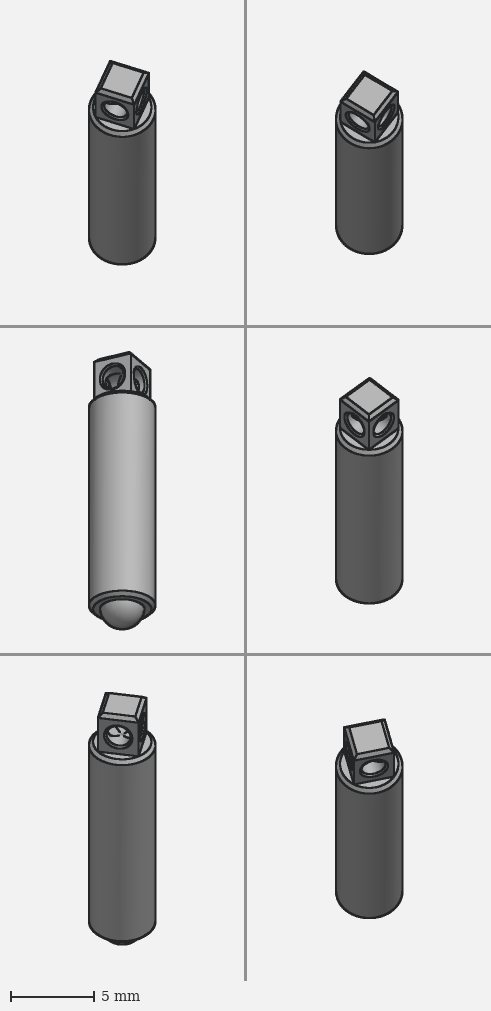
import cadquery as cq

overall_height = 17.79
body_diameter = 4.0
body_bottom = 1.2
body_top = 15.0
body_chamfer = 0.25

head_width = 2.49
head_chamfer = 0.25
hole_diameter = 1.48
hole_chamfer = 0.12
hole_height = 16.28

ball_radius = 1.35


def make_ball():
    return cq.Workplane("XY").sphere(ball_radius).translate((0, 0, ball_radius))


def make_hole(turn):
    """Hole through the head, countersunk at both mouths; turn is its angle from Y in degrees."""
    half_width = head_width / 2
    hole_radius = hole_diameter / 2
    mouth_radius = hole_radius + hole_chamfer
    profile = [
        (0, -half_width),
        (mouth_radius, -half_width),
        (hole_radius, -half_width + hole_chamfer),
        (hole_radius, half_width - hole_chamfer),
        (mouth_radius, half_width),
        (0, half_width),
    ]
    hole = cq.Workplane("XY").polyline(profile).close().revolve(360, (0, 0, 0), (0, 1, 0))
    return hole.rotate((0, 0, 0), (0, 0, 1), turn).translate((0, 0, hole_height))


def make_plunger_body(ball):
    body = (
        cq.Workplane("XY", origin=(0, 0, body_bottom))
        .circle(body_diameter / 2)
        .extrude(body_top - body_bottom)
        .faces("<Z or >Z")
        .chamfer(body_chamfer)
    )
    head = (
        cq.Workplane("XY", origin=(0, 0, body_top))
        .rect(head_width, head_width)
        .extrude(overall_height - body_top)
        .faces(">Z")
        .chamfer(head_chamfer)
    )
    body = body.union(head)
    for turn in (0, 90):
        body = body.cut(make_hole(turn))

    return body.cut(ball).solids()


ball = make_ball()
plunger_body = make_plunger_body(ball)

result = cq.Compound.makeCompound([plunger_body.val(), ball.val()])